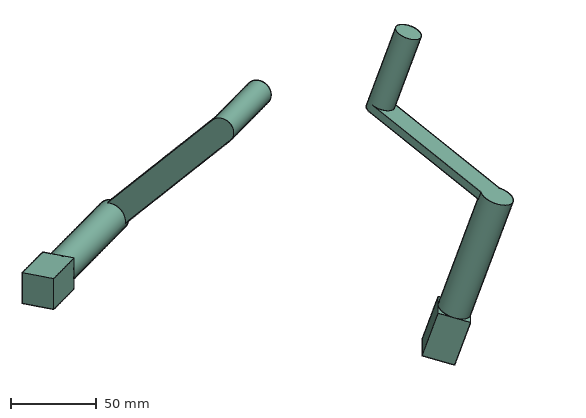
import cadquery as cq
import math

shaft_diameter = 20.0
shaft_length = 80.0
handle_diameter = 16.0
arm_length = 100.0
arm_angle = 45.0

block_side = shaft_diameter
block_length = 1.5 * shaft_diameter
handle_length = 2.5 * shaft_diameter
arm_thickness = shaft_diameter / 4
handle_x = arm_length * math.cos(math.radians(arm_angle))
handle_z = arm_length * math.sin(math.radians(arm_angle))



def rod(x, z, diameter, y_start, length):
    """Round rod parallel to Y, running from y_start toward +Y."""
    plane = cq.Plane(origin=(x, y_start, z), xDir=(1, 0, 0), normal=(0, 1, 0))
    return cq.Workplane(plane).circle(diameter / 2).extrude(length)


def end_block():
    """Square block on the -Y end of the shaft."""
    block = cq.Workplane("XY").box(block_side, block_length, block_side)
    return block.translate((0, -shaft_length - block_length / 2, 0))


def crank_arm():
    """Flat arm flush with the shaft end, rounded around the handle axis."""
    bar = cq.Workplane("XY").box(
        arm_length, arm_thickness, handle_diameter, centered=(False, True, True)
    )
    bar = bar.rotate((0, 0, 0), (0, 1, 0), -arm_angle)
    bar = bar.translate((0, -arm_thickness / 2, 0))
    tip = rod(handle_x, handle_z, handle_diameter, -arm_thickness, arm_thickness)
    return bar.union(tip)


shaft = rod(0, 0, shaft_diameter, -shaft_length, shaft_length)
handle = rod(handle_x, handle_z, handle_diameter, 0, handle_length)

result = shaft.union(end_block()).union(crank_arm()).union(handle)